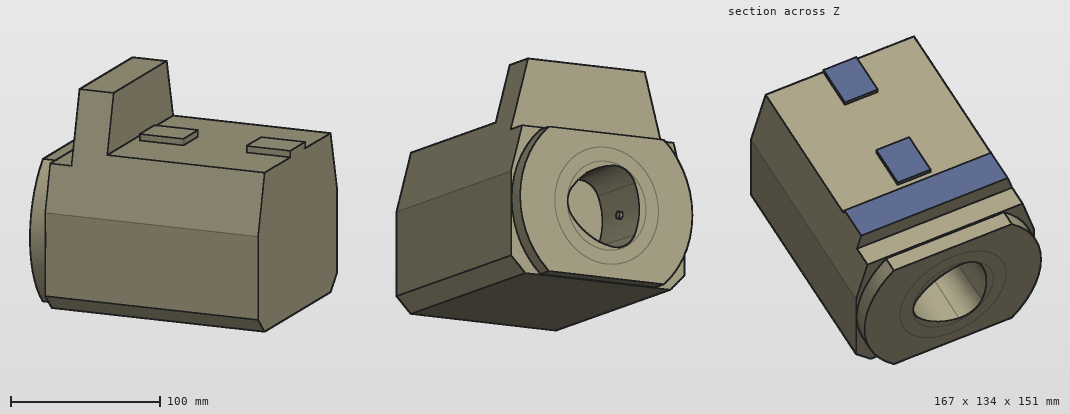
import math
import cadquery as cq


body_length = 155.5
half_width = 67.0
axis_height = 50.0
shoulder_height = 69.0
total_height = 151.0
lean_angle = 15.0
base_chamfer = 11.0

shelf_length = 15.5
shelf_height = 101.0
wall_thickness = 25.0
deck_height = 110.5

key_length = 32.0
key_width = 25.0
key_height = 4.5
key_corner_radius = 0.6
key_gap = 5.0

flange_thickness = 11.5
flange_diameter = 133.0
flange_flat_height = 99.0
ring_outer_diameter = 80.0
ring_inner_diameter = 60.8

lobe_reach = 29.8
flank_reach = 25.4
flank_radius = 47.0
bore_depth = 48.0
bore_taper = 1.43
lobe_count = 3

pin_diameter = 5.0
pin_reach = 22.5
pin_embedment = 5.0
pin_depth = 24.0

base_z = -axis_height
wall_end = shelf_length + wall_thickness
flange_face = -flange_thickness


def box(x_start, x_end, width, z_bottom, z_top):
    """Block centred on the bore axis in Y."""
    block = cq.Workplane("XY").box(x_end - x_start, width, z_top - z_bottom, centered=(False, True, False))
    return block.translate((x_start, 0, z_bottom))


def make_body():
    """House-shaped bar, cut down to a low shelf in front of the wall and a deck behind it."""
    top_half_width = half_width - (total_height - shoulder_height) * math.tan(math.radians(lean_angle))
    right_side = [
        (half_width - base_chamfer, base_z),
        (half_width, base_z + base_chamfer),
        (half_width, base_z + shoulder_height),
        (top_half_width, base_z + total_height),
    ]
    left_side = [(-y, z) for y, z in reversed(right_side)]
    bar = cq.Workplane("YZ").polyline(right_side + left_side).close().extrude(body_length)
    top_z = base_z + total_height
    above_shelf = box(0, shelf_length, 2 * half_width, base_z + shelf_height, top_z)
    above_deck = box(wall_end, body_length, 2 * half_width, base_z + deck_height, top_z)
    return bar.cut(above_shelf).cut(above_deck)


def make_front_key():
    key_start = wall_end + key_gap
    deck_z = base_z + deck_height
    key = box(key_start, key_start + key_length, key_width, deck_z, deck_z + key_height)
    return key.edges("|Z").fillet(key_corner_radius)


def make_rear_key():
    """Key flush with the back face, so only its front corners are rounded."""
    deck_z = base_z + deck_height
    key = box(body_length - key_length, body_length, key_width, deck_z, deck_z + key_height)
    return key.edges("|Z and <X").fillet(key_corner_radius)


def disc(diameter):
    return cq.Workplane("YZ", origin=(flange_face, 0, 0)).circle(diameter / 2).extrude(flange_thickness)


def make_flange_parts():
    """Flange with two flats, a flush ring and a flush core, fitted inside one another."""
    flats = box(flange_face, 0, flange_diameter, -flange_flat_height / 2, flange_flat_height / 2)
    flange = disc(flange_diameter).intersect(flats).cut(disc(ring_outer_diameter))
    ring = disc(ring_outer_diameter).cut(disc(ring_inner_diameter))
    core = disc(ring_inner_diameter)
    return [flange, ring, core]


def polar(radius, angle):
    return (radius * math.cos(angle), radius * math.sin(angle))


def make_bore():
    """Tapered plug whose lobe and flank arcs meet tangentially; the first lobe points to +Y."""
    half_pitch = math.pi / lobe_count
    flank_offset = flank_radius - flank_reach
    clearance = flank_radius - lobe_reach
    lobe_offset = (flank_offset**2 - clearance**2) / (2 * (clearance - flank_offset * math.cos(half_pitch)))
    lobe_radius = lobe_reach - lobe_offset
    lobe_half_angle = math.atan2(
        flank_offset * math.sin(half_pitch),
        lobe_offset + flank_offset * math.cos(half_pitch),
    )
    joint_y = lobe_offset + lobe_radius * math.cos(lobe_half_angle)
    joint_z = lobe_radius * math.sin(lobe_half_angle)
    joint_reach = math.hypot(joint_y, joint_z)
    joint_angle = math.atan2(joint_z, joint_y)

    outline = cq.Workplane("YZ", origin=(flange_face, 0, 0)).moveTo(*polar(joint_reach, -joint_angle))
    for index in range(lobe_count):
        lobe_angle = 2 * half_pitch * index
        next_lobe_angle = lobe_angle + 2 * half_pitch
        outline = outline.threePointArc(
            polar(lobe_reach, lobe_angle), polar(joint_reach, lobe_angle + joint_angle)
        )
        outline = outline.threePointArc(
            polar(flank_reach, lobe_angle + half_pitch), polar(joint_reach, next_lobe_angle - joint_angle)
        )
    return outline.close().extrude(bore_depth, taper=bore_taper)


def make_pin():
    pin_base = cq.Workplane("XZ", origin=(flange_face + pin_depth, -pin_reach, 0))
    return pin_base.circle(pin_diameter / 2).extrude(flank_reach - pin_reach + pin_embedment)


result = make_body().union(make_front_key()).union(make_rear_key())
for flange_part in make_flange_parts():
    result = result.union(flange_part, clean=False)
result = result.cut(make_bore(), clean=False).union(make_pin(), clean=False)